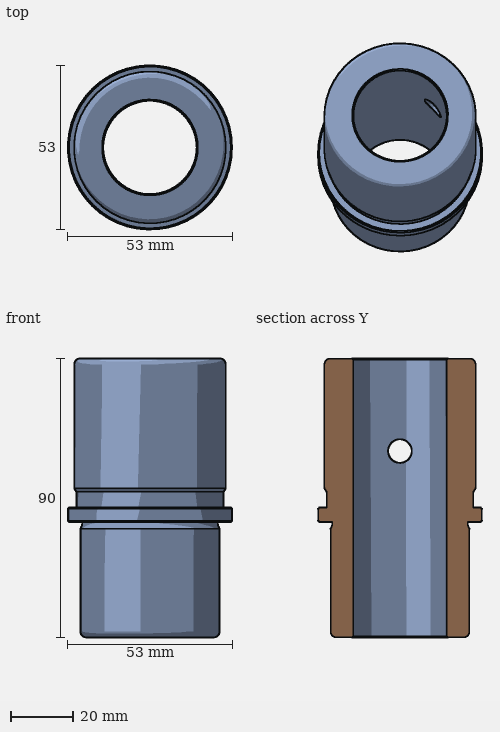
import cadquery as cq

total_height = 90.0
flange_bottom = 37.2
flange_top = 41.9
neck_top = 47.0
land_bottom = 48.1
relief_bottom = 35.1

flange_radius = 53.0 / 2
land_radius = 24.5
neck_radius = 23.8
shank_radius = 22.5
relief_radius = 21.9
bore_radius = 15.0

rim_fillet = 2.0
flange_chamfer = 0.45
bore_chamfer = 0.45

oil_hole_radius = 3.8
oil_hole_height = 60.1


def relief_arc_midpoint():
    """Point on the concave relief arc, whose tangent is vertical at the flange."""
    depth = shank_radius - relief_radius
    height = flange_bottom - relief_bottom
    arc_radius = (depth**2 + height**2) / (2 * depth)
    mid_height = height / 2
    mid_depth = arc_radius - (arc_radius**2 - mid_height**2) ** 0.5
    return relief_radius + mid_depth, flange_bottom - mid_height


def make_body():
    """Stepped sleeve, revolved from its half section."""
    half_section = (
        cq.Workplane("XZ")
        .moveTo(bore_radius, 0)
        .lineTo(shank_radius, 0)
        .lineTo(shank_radius, relief_bottom)
        .threePointArc(relief_arc_midpoint(), (relief_radius, flange_bottom))
        .lineTo(flange_radius - flange_chamfer, flange_bottom)
        .lineTo(flange_radius, flange_bottom + flange_chamfer)
        .lineTo(flange_radius, flange_top - flange_chamfer)
        .lineTo(flange_radius - flange_chamfer, flange_top)
        .lineTo(neck_radius, flange_top)
        .lineTo(neck_radius, neck_top)
        .lineTo(land_radius, land_bottom)
        .lineTo(land_radius, total_height)
        .lineTo(bore_radius, total_height)
        .close()
    )
    return half_section.revolve(360, (0, 0, 0), (0, 1, 0))


def finish_ends(body):
    """Round the outer rims and chamfer the bore mouths at both ends."""
    for end in (">Z", "<Z"):
        rims = cq.selectors.RadiusNthSelector(-1)
        mouths = cq.selectors.RadiusNthSelector(0)
        body = body.faces(end).edges(rims).fillet(rim_fillet)
        body = body.faces(end).edges(mouths).chamfer(bore_chamfer)
    return body


def make_oil_hole():
    """Cutter running from the axis outward along +Y."""
    return (
        cq.Workplane("XZ", origin=(0, 0, oil_hole_height))
        .circle(oil_hole_radius)
        .extrude(-flange_radius)
    )


result = finish_ends(make_body()).cut(make_oil_hole())